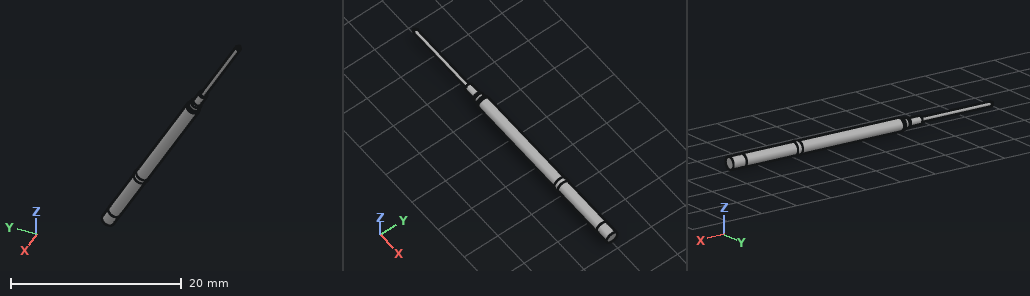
import cadquery as cq


PIN_DIAMETER = 0.63
TIP_FLAT_DIAMETER = 0.35
TIP_LENGTH = 0.27
COLLAR_DIAMETER = 1.05
COLLAR_START = 10.4

MOUTH_START = 12.06
MOUTH_DIAMETER = 1.19
MOUTH_END = 12.17
NECK_DIAMETER = 1.34
NECK_START = 12.36
NECK_END = 12.73
NECK_FLARE_DIAMETER = 1.4
SHOULDER_DIAMETER = 1.53
SHOULDER_END_DIAMETER = 1.64
SHOULDER_START = 12.98

BARREL_DIAMETER = 1.68
BARREL_START = 13.29
RING_DIAMETER = 1.85
RING_START = 27.87
RING_END = 28.55

TAIL_DIAMETER = 1.64
TAIL_START = 35.95
TOTAL_LENGTH = 37.85


def add_plunger(profile):
    """Pin and collar, from the axis at the tip to the mouth of the tube."""
    return (
        profile.lineTo(0, TIP_FLAT_DIAMETER / 2)
        .lineTo(TIP_LENGTH, PIN_DIAMETER / 2)
        .lineTo(COLLAR_START, PIN_DIAMETER / 2)
        .lineTo(COLLAR_START, COLLAR_DIAMETER / 2)
        .lineTo(MOUTH_START, COLLAR_DIAMETER / 2)
    )


def add_nose(profile):
    """Chamfered mouth, conical lead, neck and shoulder up to the barrel."""
    return (
        profile.lineTo(MOUTH_END, MOUTH_DIAMETER / 2)
        .lineTo(NECK_START, NECK_DIAMETER / 2)
        .lineTo(NECK_END, NECK_DIAMETER / 2)
        .lineTo(SHOULDER_START, NECK_FLARE_DIAMETER / 2)
        .lineTo(SHOULDER_START, SHOULDER_DIAMETER / 2)
        .lineTo(BARREL_START, SHOULDER_END_DIAMETER / 2)
    )


def add_barrel(profile):
    """Barrel whose press ring bulges outwards in a single arc."""
    barrel_radius = BARREL_DIAMETER / 2
    ring_crest = ((RING_START + RING_END) / 2, RING_DIAMETER / 2)
    ring_end = (RING_END, barrel_radius)
    return (
        profile.lineTo(BARREL_START, barrel_radius)
        .lineTo(RING_START, barrel_radius)
        .threePointArc(ring_crest, ring_end)
        .lineTo(TAIL_START, barrel_radius)
    )


def add_tail(profile):
    """Tail cylinder, ending on the axis."""
    return (
        profile.lineTo(TAIL_START, TAIL_DIAMETER / 2)
        .lineTo(TOTAL_LENGTH, TAIL_DIAMETER / 2)
        .lineTo(TOTAL_LENGTH, 0)
    )


profile = cq.Workplane("XZ").moveTo(0, 0)
for add_section in (add_plunger, add_nose, add_barrel, add_tail):
    profile = add_section(profile)

result = profile.close().revolve(360, (0, 0, 0), (1, 0, 0))